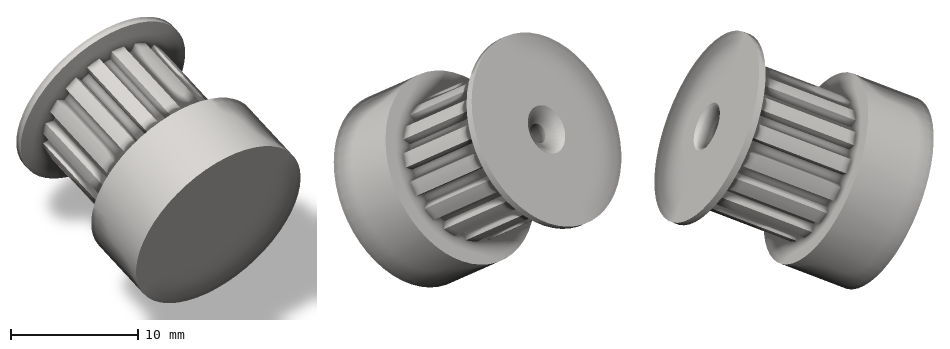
import cadquery as cq
import math

LENGTH = 16.0
OUTER_RADIUS = 8.0
HUB_LENGTH = 6.0

RIM_THICKNESS = 0.6
FLANGE_ROOT_THICKNESS = 1.05

TOOTH_COUNT = 16
TIP_RADIUS = 6.1
ROOT_RADIUS = 5.4
GROOVE_FLOOR_WIDTH = 0.77

COUNTERSINK_RADIUS = 2.0
COUNTERSINK_DEPTH = 1.0
PILOT_RADIUS = 0.8
PILOT_LENGTH = 1.28
DRILL_POINT_ANGLE = 150.0

PITCH_ANGLE = 360.0 / TOOTH_COUNT
GROOVE_TIP_HALF_ANGLE = PITCH_ANGLE / 4
GROOVE_FLOOR_HALF_ANGLE = math.degrees(math.asin(GROOVE_FLOOR_WIDTH / 2 / ROOT_RADIUS))


def polar(radius, angle):
    """Point in the YZ plane at an angle in degrees from +Y towards +Z."""
    return radius * math.cos(math.radians(angle)), radius * math.sin(math.radians(angle))


def revolve_about_x(points):
    """Solid of revolution from (x, radius) points."""
    return cq.Workplane("XY").polyline(points).close().revolve(360, (0, 0, 0), (1, 0, 0))


def make_flange():
    return revolve_about_x([
        (0, 0),
        (0, OUTER_RADIUS),
        (RIM_THICKNESS, OUTER_RADIUS),
        (FLANGE_ROOT_THICKNESS, ROOT_RADIUS),
        (FLANGE_ROOT_THICKNESS, 0),
    ])


def make_toothed_section():
    """Gear outline, each step a groove and the next tooth tip, run from the rim to the hub."""
    outline = cq.Workplane("YZ", origin=(RIM_THICKNESS, 0, 0))
    outline = outline.moveTo(*polar(TIP_RADIUS, -GROOVE_TIP_HALF_ANGLE))
    for index in range(TOOTH_COUNT):
        groove_angle = index * PITCH_ANGLE
        groove_end = groove_angle + GROOVE_TIP_HALF_ANGLE
        floor_start = groove_angle - GROOVE_FLOOR_HALF_ANGLE
        floor_end = groove_angle + GROOVE_FLOOR_HALF_ANGLE
        tooth_centre = groove_angle + PITCH_ANGLE / 2
        tooth_end = groove_angle + PITCH_ANGLE - GROOVE_TIP_HALF_ANGLE
        outline = (
            outline
            .lineTo(*polar(ROOT_RADIUS, floor_start))
            .threePointArc(polar(ROOT_RADIUS, groove_angle), polar(ROOT_RADIUS, floor_end))
            .lineTo(*polar(TIP_RADIUS, groove_end))
            .threePointArc(polar(TIP_RADIUS, tooth_centre), polar(TIP_RADIUS, tooth_end))
        )
    return outline.close().extrude(LENGTH - HUB_LENGTH - RIM_THICKNESS)


def make_hub():
    return cq.Workplane("YZ", origin=(LENGTH - HUB_LENGTH, 0, 0)).circle(OUTER_RADIUS).extrude(HUB_LENGTH)


def make_centre_hole():
    """Countersink, cylindrical pilot and conical drill point."""
    half_point = math.radians(DRILL_POINT_ANGLE / 2)
    pilot_depth = COUNTERSINK_DEPTH + PILOT_LENGTH
    point_depth = pilot_depth + PILOT_RADIUS / math.tan(half_point)
    return revolve_about_x([
        (0, 0),
        (0, COUNTERSINK_RADIUS),
        (COUNTERSINK_DEPTH, PILOT_RADIUS),
        (pilot_depth, PILOT_RADIUS),
        (point_depth, 0),
    ])


result = make_flange().union(make_toothed_section()).union(make_hub()).cut(make_centre_hole())